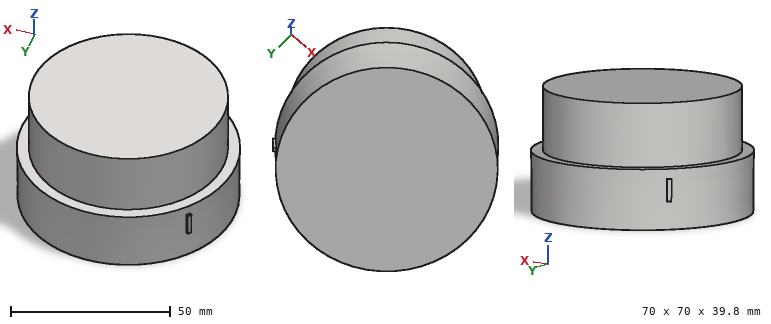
import cadquery as cq

total_height = 39.8
base_height = 19.4
base_top_radius = 35.0
base_waist_radius = 34.8
base_bottom_radius = 34.8
upper_diameter = 62.45

mark_angle = 140.9
mark_width = 1.3
mark_bottom = 9.1
mark_height = 7.15
mark_projection = 0.9
mark_root_radius = 33.6


def waisted_drum(extra_radius):
    """Base drum with a slightly concave wall, grown outwards by extra_radius."""
    return (
        cq.Workplane("XZ")
        .lineTo(base_bottom_radius + extra_radius, 0)
        .threePointArc(
            (base_waist_radius + extra_radius, base_height / 2),
            (base_top_radius + extra_radius, base_height),
        )
        .lineTo(0, base_height)
        .close()
        .revolve(360, (0, 0, 0), (0, 1, 0))
    )


def alignment_mark():
    """Radial bar whose outer face follows the wall of the base."""
    bar_length = base_top_radius + mark_projection - mark_root_radius
    bar = (
        cq.Workplane("XY")
        .box(bar_length, mark_width, mark_height, centered=(False, True, False))
        .translate((mark_root_radius, 0, mark_bottom))
        .rotate((0, 0, 0), (0, 0, 1), mark_angle)
    )
    return bar.intersect(waisted_drum(mark_projection))


upper_drum = (
    cq.Workplane("XY")
    .workplane(offset=base_height)
    .circle(upper_diameter / 2)
    .extrude(total_height - base_height)
)

result = waisted_drum(0).union(upper_drum).union(alignment_mark())